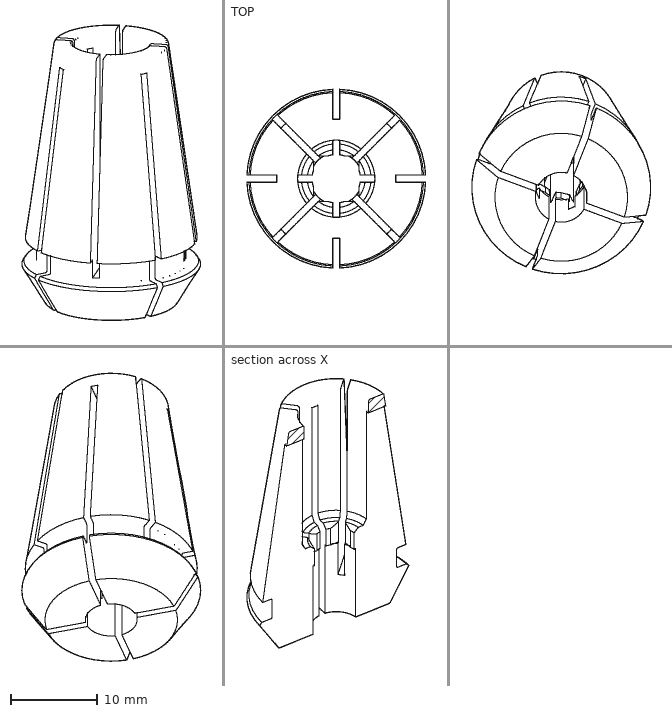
import cadquery as cq
import math

total_height = 31.5
taper_half_angle = 8.0

collar_radius = 10.4
nose_radius = 7.85
nose_edge_chamfer = 0.15
nose_cone_top = 4.4
collar_top = 4.8
collar_rim_radius = 10.15

groove_radius = 8.7
groove_top = 7.65
groove_fillet = 0.2

body_base_radius = 10.0
top_edge_fillet = 0.3

shank_radius = 3.0
shank_top = 10.0
square_width = 5.25
square_pilot_radius = 2.8
lead_in_radius = 3.36
lead_in_half_angle = 45.0
step_height = 13.0
step_radius = 4.05
clearance_radius = 4.48
step_cone_half_angle = 30.0
mouth_fillet = 0.3

slot_width = 0.8
lower_slot_top = total_height - 2.0
upper_slot_bottom = 5.45
slot_length = 3 * collar_radius


def revolve(profile):
    """Full solid of revolution about Z from a closed radius-height profile."""
    return profile.close().revolve(360, (0, 0, 0), (0, 1, 0))


def outer_body():
    taper = math.radians(taper_half_angle)
    body_top_radius = body_base_radius - (total_height - groove_top) * math.tan(taper)
    flat_edge_radius = body_top_radius - top_edge_fillet * (1 - math.sin(taper)) / math.cos(taper)
    tangent_radius = flat_edge_radius + top_edge_fillet * math.cos(taper)
    tangent_height = total_height - top_edge_fillet * (1 - math.sin(taper))
    fillet_start_radius = groove_radius + groove_fillet
    profile = (
        cq.Workplane("XZ")
        .lineTo(nose_radius - nose_edge_chamfer, 0)
        .lineTo(nose_radius, nose_edge_chamfer)
        .lineTo(collar_radius, nose_cone_top)
        .lineTo(collar_rim_radius, collar_top)
        .lineTo(fillet_start_radius, collar_top)
        .radiusArc((groove_radius, collar_top + groove_fillet), groove_fillet)
        .lineTo(groove_radius, groove_top - groove_fillet)
        .radiusArc((fillet_start_radius, groove_top), groove_fillet)
        .lineTo(body_base_radius, groove_top)
        .lineTo(tangent_radius, tangent_height)
        .radiusArc((flat_edge_radius, total_height), -top_edge_fillet)
        .lineTo(0, total_height)
    )
    return revolve(profile)


def shank_bore():
    return cq.Workplane("XY").circle(shank_radius).extrude(shank_top)


def square_drive():
    """Square hole with its round pilot hole, between the shank bore and the step."""
    depth = step_height - shank_top
    base = cq.Workplane("XY", origin=(0, 0, shank_top))
    square = base.rect(square_width, square_width).extrude(depth)
    pilot = base.circle(square_pilot_radius).extrude(depth)
    return square.union(pilot)


def lead_in_cone():
    """Conical lead-in that opens from the pilot hole up to the step."""
    drop = (lead_in_radius - square_pilot_radius) / math.tan(math.radians(lead_in_half_angle))
    profile = (
        cq.Workplane("XZ")
        .moveTo(0, step_height - drop)
        .lineTo(square_pilot_radius, step_height - drop)
        .lineTo(lead_in_radius, step_height)
        .lineTo(0, step_height)
    )
    return revolve(profile)


def clearance_bore():
    """Wide bore above the step, with a conical bottom and a rounded mouth."""
    cone_height = (clearance_radius - step_radius) / math.tan(math.radians(step_cone_half_angle))
    profile = (
        cq.Workplane("XZ")
        .moveTo(0, step_height)
        .lineTo(step_radius, step_height)
        .lineTo(clearance_radius, step_height + cone_height)
        .lineTo(clearance_radius, total_height - mouth_fillet)
        .radiusArc((clearance_radius + mouth_fillet, total_height), mouth_fillet)
        .lineTo(0, total_height)
    )
    return revolve(profile)


def crossed_slots(first_angle, bottom, top):
    """Two full-width slots at right angles, between two heights."""
    slots = cq.Workplane("XY")
    for angle in (first_angle, first_angle + 90):
        slot = (
            cq.Workplane("XY", origin=(0, 0, bottom))
            .box(slot_length, slot_width, top - bottom, centered=(True, True, False))
            .rotate((0, 0, 0), (0, 0, 1), angle)
        )
        slots = slots.add(slot)
    return slots.combine()


result = (
    outer_body()
    .cut(shank_bore())
    .cut(square_drive())
    .cut(lead_in_cone())
    .cut(clearance_bore())
    .cut(crossed_slots(0, 0, lower_slot_top))
    .cut(crossed_slots(45, upper_slot_bottom, total_height))
)